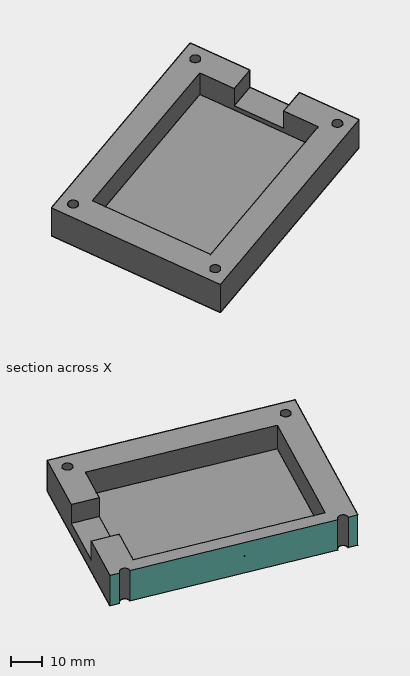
import cadquery as cq

width = 62.5
length = 83.0
height = 13.0

wall = 9.4
cavity_depth = 10.0
cavity_width = width - 2 * wall
cavity_length = length - 2 * wall

notch_width = 18.3
notch_depth = 8.0

hole_diameter = 3.4
hole_inset = 5.0


def pocket(size_x, size_y, depth, center_y=0):
    """Box that cuts down from the top face, centred in X."""
    box = cq.Workplane("XY").box(size_x, size_y, depth, centered=(True, True, False))
    return box.translate((0, center_y, height - depth))


block = cq.Workplane("XY").box(width, length, height, centered=(True, True, False))
cavity = pocket(cavity_width, cavity_length, cavity_depth)
notch = pocket(notch_width, wall, notch_depth, center_y=(length - wall) / 2)
holes = (
    cq.Workplane("XY")
    .rect(width - 2 * hole_inset, length - 2 * hole_inset, forConstruction=True)
    .vertices()
    .circle(hole_diameter / 2)
    .extrude(height)
)

result = block.cut(cavity).cut(notch).cut(holes)